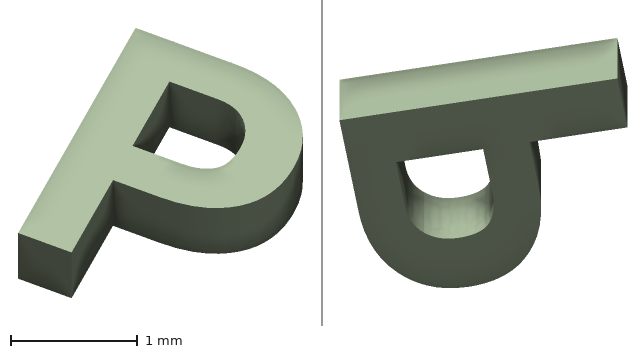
import cadquery as cq

width = 1.71
height = 2.23
thickness = 0.60

stem_width = 0.464
bar_thickness = 0.372
bowl_bottom = 0.787
tip_y = 1.50

outer_curve_start = 0.868
inner_curve_start = 0.885

outer_shoulder_x = 1.481
outer_lower_shoulder = (outer_shoulder_x, 0.973)
outer_upper_shoulder = (outer_shoulder_x, 2.026)
inner_shoulder_x = 1.150
inner_lower_shoulder = (inner_shoulder_x, 1.232)
inner_upper_shoulder = (inner_shoulder_x, 1.756)

counter_bottom = bowl_bottom + bar_thickness
counter_top = height - bar_thickness
counter_right = width - stem_width


def bowl_quarter(bar_end, shoulder, tip):
    """Control points of the two quadratic curves from a straight bar to the tip of the bowl.

    The curves leave the bar horizontally, reach the tip vertically and share a
    tangent at the shoulder, which lies midway between their control points.
    """
    near_bar = (2 * shoulder[0] - tip[0], bar_end[1])
    near_tip = (tip[0], 2 * shoulder[1] - bar_end[1])
    return [bar_end, near_bar, shoulder], [shoulder, near_tip, tip]


def add_bowl_end(outline, lower_bar_end, lower_shoulder, tip, upper_shoulder, upper_bar_end):
    """Continue an outline around the round end, from the lower bar to the upper bar."""
    lower_bar_curve, lower_tip_curve = bowl_quarter(lower_bar_end, lower_shoulder, tip)
    upper_bar_curve, upper_tip_curve = bowl_quarter(upper_bar_end, upper_shoulder, tip)
    return (
        outline
        .bezier(lower_bar_curve)
        .bezier(lower_tip_curve)
        .bezier(upper_tip_curve[::-1])
        .bezier(upper_bar_curve[::-1])
    )


def letter_body():
    """Solid outline: stem with the filled bowl on its upper right."""
    outline = (
        cq.Workplane("XY")
        .lineTo(stem_width, 0)
        .lineTo(stem_width, bowl_bottom)
        .lineTo(outer_curve_start, bowl_bottom)
    )
    outline = add_bowl_end(
        outline,
        lower_bar_end=(outer_curve_start, bowl_bottom),
        lower_shoulder=outer_lower_shoulder,
        tip=(width, tip_y),
        upper_shoulder=outer_upper_shoulder,
        upper_bar_end=(outer_curve_start, height),
    )
    return outline.lineTo(0, height).close().extrude(thickness)


def counter():
    """Through opening inside the bowl."""
    outline = (
        cq.Workplane("XY")
        .moveTo(stem_width, counter_bottom)
        .lineTo(inner_curve_start, counter_bottom)
    )
    outline = add_bowl_end(
        outline,
        lower_bar_end=(inner_curve_start, counter_bottom),
        lower_shoulder=inner_lower_shoulder,
        tip=(counter_right, tip_y),
        upper_shoulder=inner_upper_shoulder,
        upper_bar_end=(inner_curve_start, counter_top),
    )
    return outline.lineTo(stem_width, counter_top).close().extrude(thickness)


result = letter_body().cut(counter())